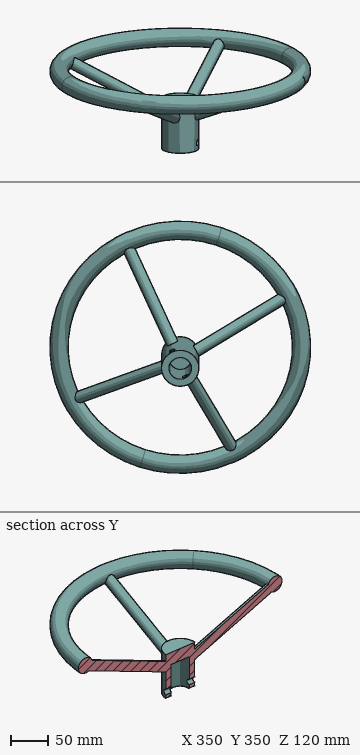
import cadquery as cq
import math

wheel_diameter = 350.0
wheel_height = 120.0
rim_tube_diameter = 25.0
hub_diameter = 50.0
hub_height = 70.0
bore_diameter = 30.0
bore_depth = 50.0
spoke_count = 4
spoke_spacing = 360 / spoke_count
spoke_diameter = 16.0
spoke_angle = 22.5
pin_hole_diameter = 8.0
pin_hole_height = 10.0

rim_radius = (wheel_diameter - rim_tube_diameter) / 2
rim_height = wheel_height - rim_tube_diameter / 2

hub_radius = hub_diameter / 2
spoke_start_radius = (hub_radius + bore_diameter / 2) / 2
spoke_run = rim_radius - spoke_start_radius
spoke_start_height = rim_height - spoke_run * math.tan(math.radians(spoke_angle))
spoke_length = spoke_run / math.cos(math.radians(spoke_angle))


def make_rim():
    """Round tube about Z, kept as two half rings that meet midway between spokes."""
    section = cq.Workplane("XZ").center(rim_radius, rim_height).circle(rim_tube_diameter / 2)
    half_ring = section.revolve(180, (-rim_radius, 0), (-rim_radius, 1))
    first_half = half_ring.rotate((0, 0, 0), (0, 0, 1), spoke_spacing / 2)
    second_half = first_half.rotate((0, 0, 0), (0, 0, 1), 180)
    return first_half.union(second_half, clean=False)


def make_hub():
    """Plain cylinder standing on Z = 0."""
    return cq.Workplane("XY").circle(hub_radius).extrude(hub_height)


def make_spoke(direction):
    """Inclined rod from hub to rim, turned about Z by direction in degrees."""
    axis = cq.Vector(spoke_run, 0, rim_height - spoke_start_height)
    start = cq.Vector(spoke_start_radius, 0, spoke_start_height)
    rod = cq.Solid.makeCylinder(spoke_diameter / 2, spoke_length, start, axis)
    return cq.Workplane(rod).rotate((0, 0, 0), (0, 0, 1), direction)


def make_bore():
    """Blind shaft socket, open at the hub foot."""
    return cq.Workplane("XY").circle(bore_diameter / 2).extrude(bore_depth)


def make_pin_hole():
    """Cross hole along X through both hub walls."""
    section = cq.Workplane("YZ").center(0, pin_hole_height).circle(pin_hole_diameter / 2)
    return section.extrude(hub_diameter, both=True)


spider = make_hub()
for index in range(spoke_count):
    spider = spider.union(make_spoke(index * spoke_spacing))

wheel = spider.union(make_rim(), clean=False)
drilled_wheel = wheel.cut(make_bore(), clean=False).cut(make_pin_hole(), clean=False)
result = cq.Workplane(drilled_wheel.solids().val())